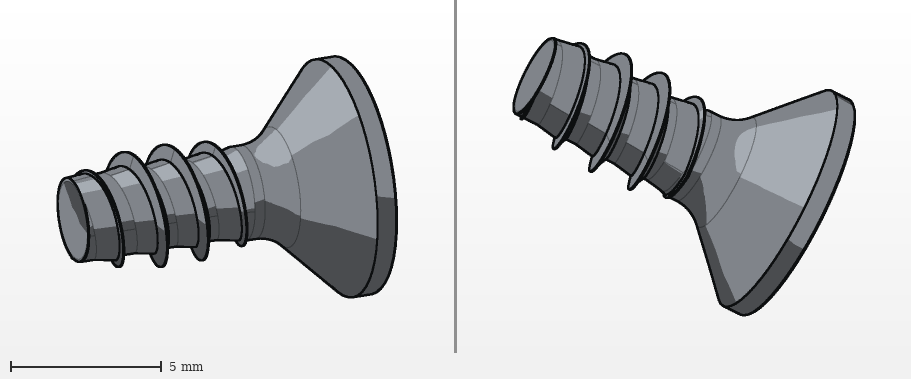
import cadquery as cq
import math


LENGTH = 10.0
HEAD_RADIUS = 4.0
HEAD_RIM_HEIGHT = 0.71
HEAD_EDGE_CHAMFER = 0.05
HEAD_CONE_ANGLE = math.radians(45)
NECK_FILLET_RADIUS = 1.54
SHANK_RADIUS = 1.58
CORE_RADIUS = 1.41
SHANK_END_DEPTH = 4.13
CORE_START_DEPTH = 4.77

TIP_RADIUS = 1.39
TIP_TAPER_LENGTH = 0.03
TIP_DISH_RADIUS = 1.31
TIP_DISH_DEPTH = 0.13

PITCH = 1.457
THREAD_START_DEPTH = 4.17
CREST_RADIUS = 2.0
CREST_HALF_WIDTH = 0.02
START_CREST_RADIUS = 1.72
GROWTH_TURNS = 1.0
FADE_START_TURN = 2.5
FADE_TURNS = 1.5
THREAD_TURNS = FADE_START_TURN + FADE_TURNS
LEAD_IN_TURNS = 1 / 3
LEAD_IN_ADVANCE = 0.05
SECTIONS_PER_TURN = 12
PIECE_TURNS = 0.5

ROOT_RADIUS = 1.0
KNEE_OFFSET = 0.11
KNEE_RADIUS = 1.71
HEAD_ROOT_OFFSET = 0.5
TIP_FLANK_SLOPE = 3.1

RAMP_LENGTH = 0.86
RAMP_TOP_RADIUS = 1.555
RAMP_CREST_CLEARANCE = 0.1
RAMP_OVERRUN = 0.06


def make_body():
    """Head, neck fillet, shank, core and tip, turned about Y."""
    neck_corner = NECK_FILLET_RADIUS * (1 - math.cos(HEAD_CONE_ANGLE))
    cone_end_radius = SHANK_RADIUS + neck_corner
    cone_end_depth = HEAD_RIM_HEIGHT + (HEAD_RADIUS - cone_end_radius) / math.tan(HEAD_CONE_ANGLE)
    neck_end_depth = cone_end_depth + NECK_FILLET_RADIUS * math.sin(HEAD_CONE_ANGLE)
    half_angle = HEAD_CONE_ANGLE / 2
    neck_middle = (
        SHANK_RADIUS + NECK_FILLET_RADIUS * (1 - math.cos(half_angle)),
        -neck_end_depth + NECK_FILLET_RADIUS * math.sin(half_angle),
    )
    return (
        cq.Workplane("XY")
        .moveTo(0, 0)
        .lineTo(HEAD_RADIUS - HEAD_EDGE_CHAMFER, 0)
        .lineTo(HEAD_RADIUS, -HEAD_EDGE_CHAMFER)
        .lineTo(HEAD_RADIUS, -HEAD_RIM_HEIGHT)
        .lineTo(cone_end_radius, -cone_end_depth)
        .threePointArc(neck_middle, (SHANK_RADIUS, -neck_end_depth))
        .lineTo(SHANK_RADIUS, -SHANK_END_DEPTH)
        .lineTo(CORE_RADIUS, -CORE_START_DEPTH)
        .lineTo(CORE_RADIUS, -(LENGTH - TIP_TAPER_LENGTH))
        .lineTo(TIP_RADIUS, -LENGTH)
        .lineTo(0, -LENGTH)
        .close()
        .revolve(360, (0, 0), (0, 1))
    )


def crest_depth(turn):
    """Depth of the crest; the lead-in before turn 0 is nearly flat."""
    if turn < 0:
        return THREAD_START_DEPTH + LEAD_IN_ADVANCE * turn / LEAD_IN_TURNS
    return THREAD_START_DEPTH + PITCH * turn


def crest_radius(turn):
    """Crest radius: rises from the shank, stays full, then fades into the core."""
    if turn < 0:
        return START_CREST_RADIUS + (START_CREST_RADIUS - SHANK_RADIUS) * turn / LEAD_IN_TURNS
    if turn < GROWTH_TURNS:
        return START_CREST_RADIUS + (CREST_RADIUS - START_CREST_RADIUS) * turn / GROWTH_TURNS
    if turn < FADE_START_TURN:
        return CREST_RADIUS
    return CREST_RADIUS - (CREST_RADIUS - CORE_RADIUS) * (turn - FADE_START_TURN) / FADE_TURNS


def thread_profile(turn):
    """Section as (radius, axial offset) points; the ridge moves inward where the crest is low."""
    crest = crest_radius(turn)
    drop = CREST_RADIUS - crest
    ramp_top = min(RAMP_TOP_RADIUS, crest - RAMP_CREST_CLEARANCE)
    ramp_slope = (ramp_top - CORE_RADIUS) / RAMP_LENGTH
    flank_foot = (crest + TIP_FLANK_SLOPE * CREST_HALF_WIDTH - ramp_top) / (TIP_FLANK_SLOPE - ramp_slope)
    ramp_end = RAMP_LENGTH + RAMP_OVERRUN
    return [
        (ROOT_RADIUS - drop, -HEAD_ROOT_OFFSET),
        (KNEE_RADIUS - drop, -KNEE_OFFSET),
        (crest, -CREST_HALF_WIDTH),
        (crest, CREST_HALF_WIDTH),
        (ramp_top - ramp_slope * flank_foot, flank_foot),
        (CORE_RADIUS - ramp_slope * RAMP_OVERRUN, ramp_end),
        (ROOT_RADIUS - drop, ramp_end),
    ]


def section_wire(turn):
    """Thread section in the radial plane at the given turn, counted from -Z toward +X."""
    angle = 2 * math.pi * turn
    points = [
        cq.Vector(radius * math.sin(angle), -(crest_depth(turn) + offset), -radius * math.cos(angle))
        for radius, offset in thread_profile(turn)
    ]
    return cq.Wire.makePolygon(points, close=True)


def loft_thread(first_turn, last_turn):
    """Loft the section along the helix between two turns."""
    steps = round((last_turn - first_turn) * SECTIONS_PER_TURN)
    turns = [first_turn + (last_turn - first_turn) * step / steps for step in range(steps + 1)]
    wires = [section_wire(turn) for turn in turns]
    return cq.Workplane(obj=cq.Solid.makeLoft(wires))


def make_thread():
    """Thread pieces in order: the lead-in, then half turns, trimmed flush with the tip."""
    pieces = [loft_thread(-LEAD_IN_TURNS, 0)]
    for index in range(round(THREAD_TURNS / PIECE_TURNS)):
        first_turn = index * PIECE_TURNS
        pieces.append(loft_thread(first_turn, first_turn + PIECE_TURNS))
    beyond_tip = cq.Workplane("XZ", origin=(0, -LENGTH, 0)).circle(HEAD_RADIUS).extrude(LENGTH)
    return [piece.cut(beyond_tip) for piece in pieces]


def make_tip_dish():
    """Shallow conical hollow in the tip face."""
    return (
        cq.Workplane("XY")
        .moveTo(0, -LENGTH)
        .lineTo(TIP_DISH_RADIUS, -LENGTH)
        .lineTo(0, -LENGTH + TIP_DISH_DEPTH)
        .close()
        .revolve(360, (0, 0), (0, 1))
    )


body = make_body()
for thread_piece in make_thread():
    body = body.union(thread_piece)
result = body.cut(make_tip_dish())